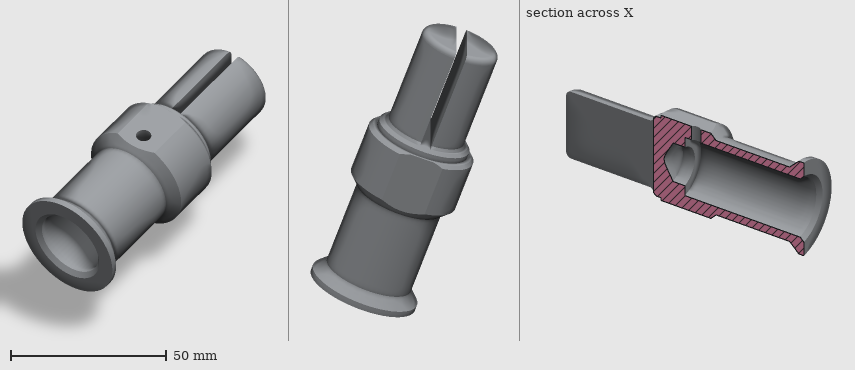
import cadquery as cq
import math

length = 91.8

flange_diameter = 36.0
flange_rim = 2.0
flange_cone_end = 5.6
tube_diameter = 29.0
tube_end = 34.0

body_diameter = flange_diameter
body_cone_end = tube_end + (body_diameter - tube_diameter) / 2
body_end = 55.3
body_chamfer = 1.1
across_flats = 32.9

collar_diameter = 31.0
collar_end = 58.2
collar_chamfer = 1.0
neck_end = 59.0
neck_chamfer = neck_end - collar_end

spigot_diameter = 25.9
spigot_round = 2.0
slot_width = 3.6
slot_start = collar_end

bore_diameter = 22.5
bore_depth = 45.9
bore_mouth_chamfer = 1.5
drill_diameter = 15.1
drill_depth = 50.5
drill_point_angle = 118.0

cross_hole_diameter = 5.0
cross_hole_position = 41.6


def turned_outside():
    """Solid of revolution with all the outer steps, cones and edge breaks."""
    flange_radius = flange_diameter / 2
    tube_radius = tube_diameter / 2
    body_radius = body_diameter / 2
    collar_radius = collar_diameter / 2
    spigot_radius = spigot_diameter / 2
    round_inset = spigot_round * (1 - math.sqrt(0.5))
    return (
        cq.Workplane("XY")
        .lineTo(flange_radius, 0)
        .lineTo(flange_radius, flange_rim)
        .lineTo(tube_radius, flange_cone_end)
        .lineTo(tube_radius, tube_end)
        .lineTo(body_radius, body_cone_end)
        .lineTo(body_radius, body_end - body_chamfer)
        .lineTo(body_radius - body_chamfer, body_end)
        .lineTo(collar_radius, body_end)
        .lineTo(collar_radius, collar_end - collar_chamfer)
        .lineTo(collar_radius - collar_chamfer, collar_end)
        .lineTo(spigot_radius + neck_chamfer, collar_end)
        .lineTo(spigot_radius, neck_end)
        .lineTo(spigot_radius, length - spigot_round)
        .threePointArc(
            (spigot_radius - round_inset, length - round_inset),
            (spigot_radius - spigot_round, length),
        )
        .lineTo(0, length)
        .close()
        .revolve(360, (0, 0, 0), (0, 1, 0))
    )


def bore():
    """Chamfered flat-bottomed bore continued by a drilled hole with a conical tip."""
    bore_radius = bore_diameter / 2
    drill_radius = drill_diameter / 2
    tip_height = drill_radius / math.tan(math.radians(drill_point_angle / 2))
    return (
        cq.Workplane("XY")
        .lineTo(bore_radius + bore_mouth_chamfer, 0)
        .lineTo(bore_radius, bore_mouth_chamfer)
        .lineTo(bore_radius, bore_depth)
        .lineTo(drill_radius, bore_depth)
        .lineTo(drill_radius, drill_depth)
        .lineTo(0, drill_depth + tip_height)
        .close()
        .revolve(360, (0, 0, 0), (0, 1, 0))
    )


def flat_cut(side):
    """Block that mills one flat on the body; side is +1 for top, -1 for bottom."""
    depth = (body_diameter - across_flats) / 2
    return cq.Workplane("XY").box(
        body_diameter, body_end - tube_end, depth
    ).translate((0, (tube_end + body_end) / 2, side * (across_flats + depth) / 2))


def slot():
    """Slot through the full height of the spigot, open at its free end."""
    slot_length = length - slot_start
    return cq.Workplane("XY").box(slot_width, slot_length, collar_diameter).translate(
        (0, slot_start + slot_length / 2, 0)
    )


def cross_hole():
    """Radial hole from the upper flat into the bore."""
    return (
        cq.Workplane("XY")
        .center(0, cross_hole_position)
        .circle(cross_hole_diameter / 2)
        .extrude(body_diameter / 2)
    )


result = turned_outside().cut(bore())
for side in (1, -1):
    result = result.cut(flat_cut(side))
result = result.cut(slot()).cut(cross_hole())